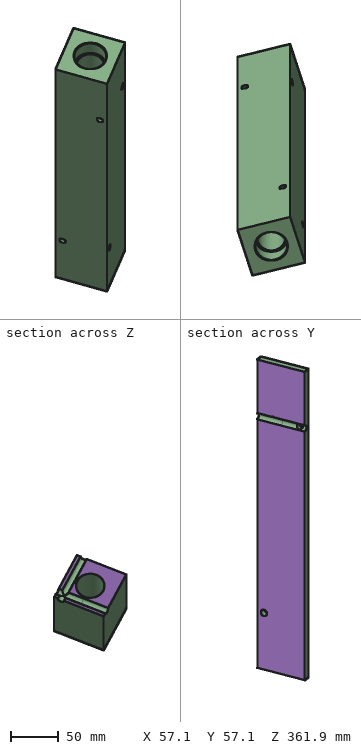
import cadquery as cq

INCH = 25.4

side = 2.25 * INCH
length = 14.25 * INCH

bore_diameter = 1.145 * INCH
socket_mouth_diameter = 1.315 * INCH
socket_depth = 0.65 * INCH
socket_taper = 1 / 16
socket_floor_diameter = socket_mouth_diameter - socket_taper * socket_depth

rim_diameter = 1.365 * INCH
chamfer_depth = (rim_diameter - socket_mouth_diameter) / 2

cross_hole_diameter = 0.265 * INCH
cross_hole_offset = 0.8125 * INCH
cross_hole_height = 4.5 * INCH


def make_bar():
    """Plain square bar."""
    return cq.Workplane("XY").box(side, side, length)


def cut_bore(body):
    """Cut the plain bore through the whole length."""
    return body.faces(">Z").workplane().hole(bore_diameter)


def cut_sockets(body):
    """Cut the matching sockets at both ends, each a turned profile of chamfer, taper and flat floor."""
    floor_z = length / 2 - socket_depth
    mouth_z = length / 2 - chamfer_depth
    upper_socket = (
        cq.Workplane("XZ")
        .moveTo(0, floor_z)
        .lineTo(socket_floor_diameter / 2, floor_z)
        .lineTo(socket_mouth_diameter / 2, mouth_z)
        .lineTo(rim_diameter / 2, length / 2)
        .lineTo(0, length / 2)
        .close()
        .revolve(360, (0, 0), (0, 1))
    )
    return body.cut(upper_socket).cut(upper_socket.mirror("XY"))


def cut_cross_holes(body):
    """Cut the holes that run right through the bar along Y and along X."""
    hole_centres = [
        (cross_hole_offset, cross_hole_height),
        (-cross_hole_offset, -cross_hole_height),
    ]
    for plane in ("XZ", "YZ"):
        drills = (
            cq.Workplane(plane)
            .pushPoints(hole_centres)
            .circle(cross_hole_diameter / 2)
            .extrude(side / 2, both=True)
        )
        body = body.cut(drills)
    return body


result = cut_cross_holes(cut_sockets(cut_bore(make_bar())))